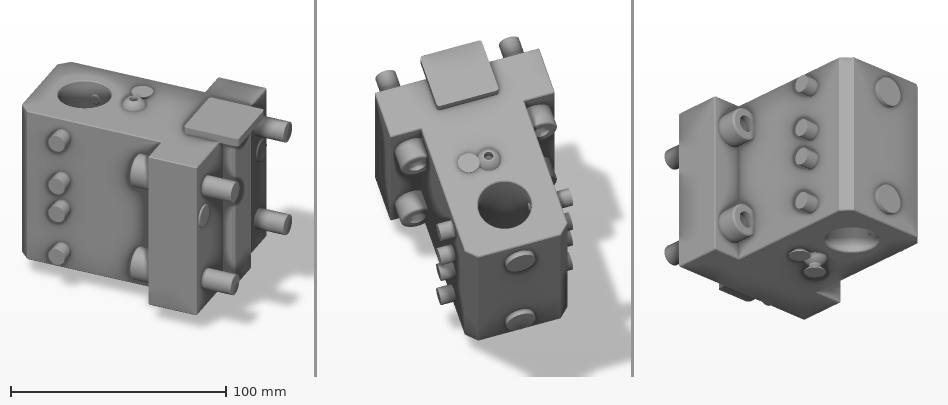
import cadquery as cq

HEIGHT = 80.0
LENGTH = 98.0
FLANGE_WIDTH = 80.0
FLANGE_THICKNESS = 24.8
BODY_WIDTH = 50.0
CORNER_CHAMFER = 5.0
EDGE_CHAMFER = 0.5
FLANGE_CORNER_CHAMFER = 0.3
SHOULDER_X = LENGTH - FLANGE_THICKNESS
TOP_Z = HEIGHT / 2

BORE_X = 23.0
BORE_RADIUS = 12.5

CLAMP_SCREW_RADIUS = 4.2
CLAMP_SCREW_PROJECTION = 7.0
CLAMP_SCREW_TIP_Y = 11.8
CLAMP_SCREW_TIP_RADIUS = 2.1
CLAMP_SCREW_OFFSETS_Z = (30.5, 7.5)

PLUG_RADIUS = 7.0
PLUG_PROJECTION = 2.5
PLUG_OFFSET_Z = 28.0

BOLT_SPACING_Y = 60.1
BOLT_SPACING_Z = 50.0
BOLT_RADIUS = 5.0
BOLT_PROJECTION = 15.0
HEAD_RADIUS = 8.0
HEAD_LENGTH = 10.4
HEAD_FILLET = 1.0
SOCKET_RADIUS = 4.0
SOCKET_DEPTH = 4.0
SOCKET_TIP_DEPTH = 2.4

NOZZLE_X = 48.0
NOZZLE_BALL_RADIUS = 6.1
NOZZLE_BALL_SINK = 1.8
NOZZLE_HEIGHT = 3.6
NOZZLE_HOLE_RADIUS = 2.2
SCREW_OFFSET_Y = 9.7
SCREW_HEAD_RADIUS = 5.1
SCREW_RIM = 0.3
SCREW_NECK_RADIUS = 2.8
SIDE_SCREW_HEIGHT = 2.3
NOZZLE_SCREW_HEIGHT = 7.5

TOP_PLATE_X = 79.9
TOP_PLATE_LENGTH = 28.0
TOP_PLATE_WIDTH = 30.0
TOP_PLATE_CORNER_RADIUS = 1.4
TOP_PLATE_THICKNESS = 4.0
REAR_PLATE_THICKNESS = 5.8
REAR_PLATE_WIDTH = 20.0
REAR_PLATE_HEIGHT = 78.0
REAR_PLATE_CHAMFER = 1.2

PAD_Y = 32.8
PAD_Z = 10.2
PAD_RADIUS = 5.5
PAD_PROJECTION = 0.8
PAD_FILLET = 0.6


def cylinder_x(x_start, length, radius, y, z):
    """Cylinder along +X."""
    return cq.Workplane("YZ", origin=(x_start, y, z)).circle(radius).extrude(length)


def block():
    """Narrow body and wide flange with broken edges, pierced by the bore."""
    body = (
        cq.Workplane("XY").box(LENGTH, BODY_WIDTH, HEIGHT, centered=(False, True, True))
        .edges("|Z and <X").chamfer(CORNER_CHAMFER)
    )
    flange = (
        cq.Workplane("XY").box(FLANGE_THICKNESS, FLANGE_WIDTH, HEIGHT, centered=(False, True, True))
        .translate((SHOULDER_X, 0, 0))
        .edges("|Z").chamfer(FLANGE_CORNER_CHAMFER)
    )
    bore = cq.Workplane("XY").center(BORE_X, 0).circle(BORE_RADIUS).extrude(HEIGHT, both=True)
    return body.union(flange).cut(bore).faces("<Z or >Z").chamfer(EDGE_CHAMFER)


def clamp_screw(side, z):
    """Screw entering the bore from the +Y (side = 1) or -Y (side = -1) face, with a 45 degree tip."""
    outer_y = BODY_WIDTH / 2 + CLAMP_SCREW_PROJECTION
    shoulder_y = CLAMP_SCREW_TIP_Y + CLAMP_SCREW_RADIUS - CLAMP_SCREW_TIP_RADIUS
    profile = [
        (0, CLAMP_SCREW_TIP_Y),
        (CLAMP_SCREW_TIP_RADIUS, CLAMP_SCREW_TIP_Y),
        (CLAMP_SCREW_RADIUS, shoulder_y),
        (CLAMP_SCREW_RADIUS, outer_y),
        (0, outer_y),
    ]
    screw = cq.Workplane("XY").polyline(profile).close().revolve(360, (0, 0, 0), (0, 1, 0))
    if side < 0:
        screw = screw.mirror("XZ")
    return screw.translate((BORE_X, 0, z))


def bolt(y, z):
    """Cap screw with a round socket that ends in a cone."""
    head_x = SHOULDER_X - HEAD_LENGTH
    head = cylinder_x(head_x, HEAD_LENGTH, HEAD_RADIUS, y, z).faces("<X").edges().fillet(HEAD_FILLET)
    shank = cylinder_x(SHOULDER_X, FLANGE_THICKNESS + BOLT_PROJECTION, BOLT_RADIUS, y, z)
    socket_profile = [
        (0, 0),
        (0, SOCKET_RADIUS),
        (SOCKET_DEPTH, SOCKET_RADIUS),
        (SOCKET_DEPTH + SOCKET_TIP_DEPTH, 0),
    ]
    socket = (
        cq.Workplane("XY").polyline(socket_profile).close()
        .revolve(360, (0, 0, 0), (1, 0, 0))
        .translate((head_x, y, z))
    )
    return head.union(shank).cut(socket)


def nozzle():
    """Truncated ball standing on the plane Z = 0."""
    ball = cq.Workplane("XY").sphere(NOZZLE_BALL_RADIUS).translate((0, 0, -NOZZLE_BALL_SINK))
    slab = cq.Workplane("XY").circle(NOZZLE_BALL_RADIUS).extrude(NOZZLE_HEIGHT)
    return ball.intersect(slab)


def countersunk_screw(height):
    """Upward-facing countersunk head with a 45 degree cone, on a neck sunk below Z = 0."""
    cone_top = height - SCREW_RIM
    cone_bottom = cone_top - (SCREW_HEAD_RADIUS - SCREW_NECK_RADIUS)
    neck_bottom = min(0, cone_bottom) - SCREW_NECK_RADIUS
    profile = [
        (0, neck_bottom),
        (SCREW_NECK_RADIUS, neck_bottom),
        (SCREW_NECK_RADIUS, cone_bottom),
        (SCREW_HEAD_RADIUS, cone_top),
        (SCREW_HEAD_RADIUS, height),
        (0, height),
    ]
    return cq.Workplane("XZ").polyline(profile).close().revolve(360, (0, 0, 0), (0, 1, 0))


def coolant_fittings():
    """Open nozzle on top, nozzle closed by a screw below, and a screw beside each."""
    side_screw = countersunk_screw(SIDE_SCREW_HEIGHT).translate((0, SCREW_OFFSET_Y, 0))
    open_nozzle = nozzle().cut(cq.Workplane("XY").circle(NOZZLE_HOLE_RADIUS).extrude(NOZZLE_HEIGHT))
    closed_nozzle = nozzle().union(countersunk_screw(NOZZLE_SCREW_HEIGHT))
    top = open_nozzle.union(side_screw).translate((NOZZLE_X, 0, TOP_Z))
    bottom = closed_nozzle.union(side_screw).translate((NOZZLE_X, 0, TOP_Z)).mirror("XY")
    return top.union(bottom)


def top_plate():
    """Flat plate on the top face, overhanging the rear face."""
    return (
        cq.Workplane("XY")
        .box(TOP_PLATE_LENGTH, TOP_PLATE_WIDTH, TOP_PLATE_THICKNESS, centered=(False, True, False))
        .edges("|Z").fillet(TOP_PLATE_CORNER_RADIUS)
        .translate((TOP_PLATE_X, 0, TOP_Z))
    )


def rear_plate():
    """Upright key plate on the rear face."""
    return (
        cq.Workplane("XY")
        .box(REAR_PLATE_THICKNESS, REAR_PLATE_WIDTH, REAR_PLATE_HEIGHT, centered=(False, True, True))
        .edges("|Z and >X").chamfer(REAR_PLATE_CHAMFER)
        .translate((LENGTH, 0, 0))
    )


result = block()

for side in (-1, 1):
    plug = cylinder_x(-PLUG_PROJECTION, PLUG_PROJECTION, PLUG_RADIUS, 0, side * PLUG_OFFSET_Z)
    result = result.union(plug)
    pad = cylinder_x(LENGTH, PAD_PROJECTION, PAD_RADIUS, side * PAD_Y, PAD_Z)
    result = result.union(pad.faces(">X").edges().fillet(PAD_FILLET))
    for level in (-1, 1):
        result = result.union(bolt(side * BOLT_SPACING_Y / 2, level * BOLT_SPACING_Z / 2))
        for screw_z in CLAMP_SCREW_OFFSETS_Z:
            result = result.union(clamp_screw(side, level * screw_z))

result = result.union(coolant_fittings()).union(top_plate()).union(rear_plate())